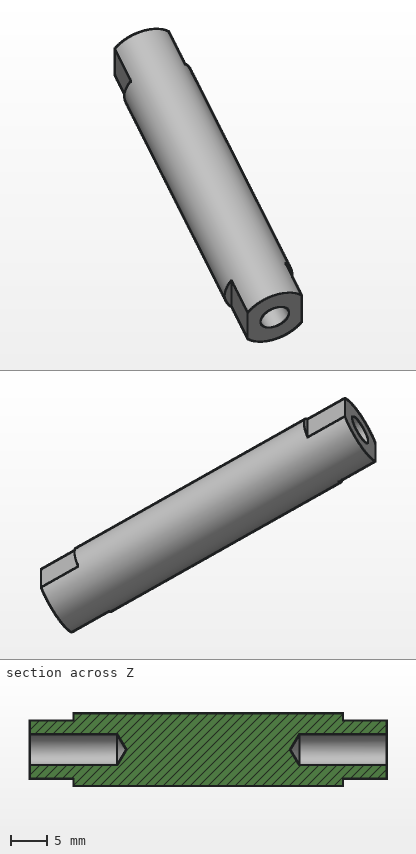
import cadquery as cq
import math

length = 49.0
diameter = 10.0
across_flats = 8.0
flat_length = 6.0
hole_diameter = 4.2
hole_depth = 12.0
drill_point_angle = 118.0

radius = diameter / 2
hole_radius = hole_diameter / 2
flat_depth = (diameter - across_flats) / 2
point_depth = hole_radius / math.tan(math.radians(drill_point_angle / 2))


def flat_cutter(end, side):
    """Block that mills one flat; end and side are -1 or +1 along X and Y."""
    return cq.Workplane("XY").box(flat_length, flat_depth, diameter).translate(
        (end * (length - flat_length) / 2, side * (across_flats + flat_depth) / 2, 0)
    )


def drilled_hole():
    """Blind hole with a conical drill point, entering the -X end."""
    entry = -length / 2
    bottom = entry + hole_depth
    return (
        cq.Workplane("XY")
        .moveTo(entry, 0)
        .lineTo(entry, hole_radius)
        .lineTo(bottom, hole_radius)
        .lineTo(bottom + point_depth, 0)
        .close()
        .revolve(360, (0, 0, 0), (1, 0, 0))
    )


result = cq.Workplane("YZ").circle(radius).extrude(length / 2, both=True)

for end in (-1, 1):
    for side in (-1, 1):
        result = result.cut(flat_cutter(end, side))

hole = drilled_hole()
result = result.cut(hole).cut(hole.mirror("YZ"))